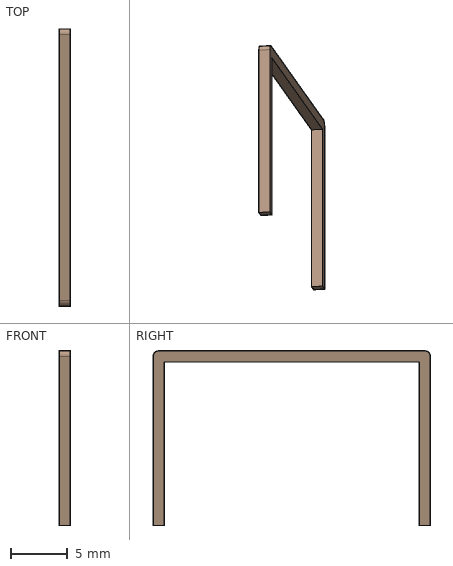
import cadquery as cq

wire = 1.0
span = 24.5
height = 15.45
bend_radius = 0.5

opening_width = span - 2 * wire
opening_height = height - wire


def upright_block(width, block_height):
    """Block one wire thick in X, centred on X and Y, standing on Z = 0."""
    return cq.Workplane("XY").box(wire, width, block_height, centered=(True, True, False))


outer = upright_block(span, height).edges("|X and >Z").fillet(bend_radius)

result = outer.cut(upright_block(opening_width, opening_height))